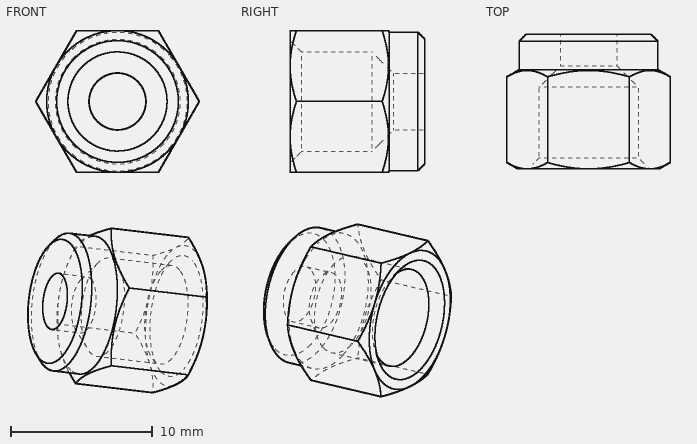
import cadquery as cq
import math

corner_diameter = 11.55
flat_width = corner_diameter * math.cos(math.radians(30))
hex_length = 7.0
total_length = 9.5

collar_radius = 4.9
collar_chamfer = 0.5

trim_slope = math.tan(math.radians(30))
corner_radius = corner_diameter / 2
front_trim_radius = flat_width / 2
rear_trim_radius = collar_radius
front_trim = (corner_radius - front_trim_radius) * trim_slope
rear_trim = (corner_radius - rear_trim_radius) * trim_slope

mouth_radius = 4.3
bore_radius = 3.5
hole_radius = 2.0
mouth_depth = mouth_radius - bore_radius
seat_start = 5.78
seat_half_angle = 45.0
seat_end = seat_start + (bore_radius - hole_radius) / math.tan(math.radians(seat_half_angle))


def revolve_about_y(profile):
    """Turn a closed (radius, y) outline around the Y axis."""
    return cq.Workplane("XY").polyline(profile).close().revolve(360, (0, 0, 0), (0, 1, 0))


def make_hexagon():
    prism = cq.Workplane("XZ").polygon(6, corner_diameter).extrude(-hex_length)
    trim_envelope = revolve_about_y([
        (0, 0),
        (front_trim_radius, 0),
        (corner_radius, front_trim),
        (corner_radius, hex_length - rear_trim),
        (rear_trim_radius, hex_length),
        (0, hex_length),
    ])
    return prism.intersect(trim_envelope)


def make_collar():
    collar = cq.Workplane("XZ").circle(collar_radius).extrude(-total_length)
    return collar.faces(">Y").chamfer(collar_chamfer)


def make_bore():
    return revolve_about_y([
        (0, 0),
        (mouth_radius, 0),
        (bore_radius, mouth_depth),
        (bore_radius, seat_start),
        (hole_radius, seat_end),
        (hole_radius, total_length),
        (0, total_length),
    ])


result = make_hexagon().union(make_collar()).cut(make_bore())